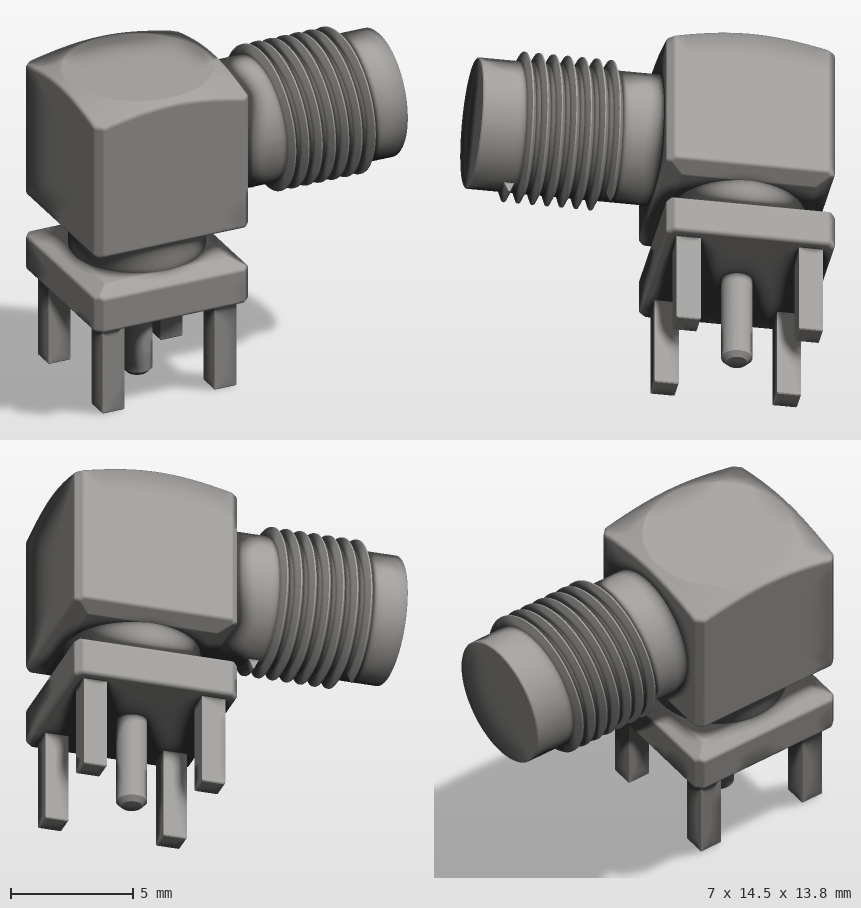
import cadquery as cq
import math


total_length = 14.5
total_height = 13.8
block_width = 7.0

leg_length = 3.9
leg_width = 1.0
leg_spacing = 5.08
leg_chamfer = 0.05

pin_diameter = 1.28
pin_chamfer = 0.2

base_height = 1.91
neck_height = 1.2
neck_diameter = 5.63

bevel_inset = 0.71
bevel_drop = 0.36
corner_chamfer = 0.3
edge_radius = 0.16

crown_diameter = 6.24
crown_slope = 19.0

barrel_diameter = 5.4
barrel_end_chamfer = 0.05

thread_diameter = 6.2
thread_length = 4.2
thread_turns = 7
thread_end_gap = 1.55
thread_crest_width = 0.06
thread_root_width = 0.48
thread_embed = 0.06

body_bottom = base_height + neck_height
body_top = total_height - leg_length
body_height = body_top - body_bottom
barrel_end = total_length - block_width / 2
barrel_axis_height = body_top - block_width / 2


def bevelled_block(height):
    """Square block on the XY plane whose top narrows in a shallow, flat-topped pyramid."""
    bevel_taper = math.degrees(math.atan2(bevel_inset, bevel_drop))
    straight = cq.Workplane("XY").rect(block_width, block_width).extrude(height - bevel_drop)
    bevel = (
        cq.Workplane("XY", origin=(0, 0, height - bevel_drop))
        .rect(block_width, block_width)
        .extrude(bevel_drop, taper=bevel_taper)
    )
    return straight.union(bevel)


def soften_block(block):
    """Cut the vertical corners and round every edge."""
    return block.edges("|Z").chamfer(corner_chamfer).edges().fillet(edge_radius)


def make_base():
    return soften_block(bevelled_block(base_height))


def make_crown_cone():
    """Cylinder with a conical top that shaves the upper corners of the body."""
    crown_radius = crown_diameter / 2
    outer_radius = block_width
    cone_drop = (outer_radius - crown_radius) * math.tan(math.radians(crown_slope))
    half_profile = (
        cq.Workplane("XZ")
        .moveTo(0, -block_width)
        .lineTo(outer_radius, -block_width)
        .lineTo(outer_radius, body_height - cone_drop)
        .lineTo(crown_radius, body_height)
        .lineTo(0, body_height)
        .close()
    )
    return half_profile.revolve(360, (0, 0, 0), (0, 1, 0))


def make_body():
    """Block with its bevel facing down, over the neck, and a conical crown on top."""
    block = bevelled_block(body_height).rotate((0, 0, 0), (1, 0, 0), 180).translate((0, 0, body_height))
    crowned = block.intersect(make_crown_cone())
    return soften_block(crowned).translate((0, 0, body_bottom))


def make_neck():
    """Round post joining base and body, run into both of them."""
    return cq.Workplane("XY").circle(neck_diameter / 2).extrude(body_bottom + bevel_drop)


def make_legs():
    legs = (
        cq.Workplane("XY")
        .rect(leg_spacing, leg_spacing, forConstruction=True)
        .vertices()
        .rect(leg_width, leg_width)
        .extrude(-leg_length)
    )
    return legs.faces("<Z").chamfer(leg_chamfer)


def make_pin():
    pin = cq.Workplane("XY").circle(pin_diameter / 2).extrude(-leg_length)
    return pin.faces("<Z").chamfer(pin_chamfer)


def make_thread():
    """Right-hand ridge wound up the Z axis from its start at +Y."""
    pitch = thread_length / thread_turns
    root_radius = barrel_diameter / 2 - thread_embed
    crest_radius = thread_diameter / 2
    helix = cq.Wire.makeHelix(pitch, thread_length, root_radius)
    ridge = (
        cq.Workplane("XZ")
        .moveTo(root_radius, -thread_root_width / 2)
        .lineTo(crest_radius, -thread_crest_width / 2)
        .lineTo(crest_radius, thread_crest_width / 2)
        .lineTo(root_radius, thread_root_width / 2)
        .close()
    )
    return ridge.sweep(cq.Workplane(obj=helix), isFrenet=True).rotate((0, 0, 0), (0, 0, 1), 90)


def make_barrel():
    """Threaded barrel along +Y, run into the body as far as the body axis."""
    barrel = cq.Workplane("XY").circle(barrel_diameter / 2).extrude(barrel_end)
    barrel = barrel.faces(">Z").chamfer(barrel_end_chamfer)
    thread_start = barrel_end - thread_end_gap - thread_length
    barrel = barrel.union(make_thread().translate((0, 0, thread_start)))
    return barrel.rotate((0, 0, 0), (1, 0, 0), -90).translate((0, 0, barrel_axis_height))


result = make_base()
for piece in (make_neck(), make_body(), make_barrel(), make_legs(), make_pin()):
    result = result.union(piece)